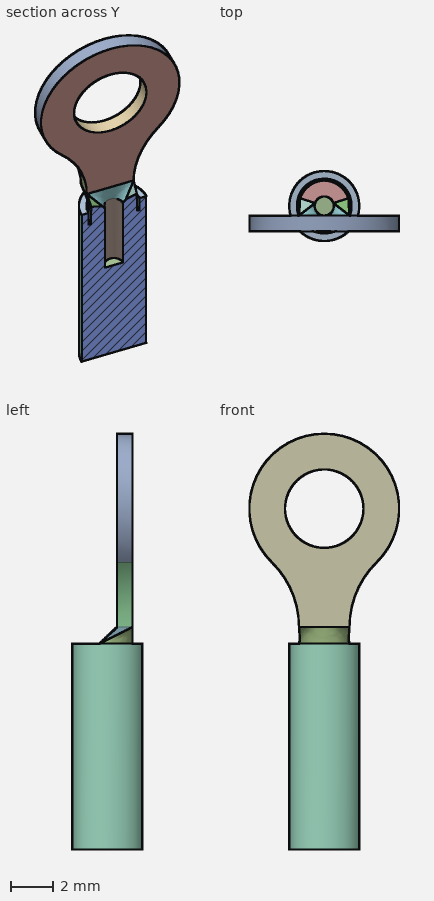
import cadquery as cq
import math

total_height = 19.67
sleeve_height = 9.74
sleeve_diameter = 3.32
gap_outer_radius = 1.3
barrel_radius = 1.2
bore_radius = 0.45
gap_depth = 0.79
bore_depth = 3.93

ring_diameter = 7.1
stud_hole_radius = 1.85
tongue_thickness = 0.75
tongue_front = -1.2
neck_half_width = 1.2
transition_height = 0.79
crimp_end_angle = 18.0

sleeve_radius = sleeve_diameter / 2
ring_radius = ring_diameter / 2
tongue_back = tongue_front + tongue_thickness
tongue_base = sleeve_height + transition_height
ring_center = total_height - ring_radius


def make_barrel():
    """Sleeve and barrel with a narrow annular gap and a blind bore at the top."""
    sleeve = cq.Workplane("XY").circle(sleeve_radius).extrude(sleeve_height)
    top = cq.Workplane("XY").workplane(offset=sleeve_height)
    gap = top.circle(gap_outer_radius).circle(barrel_radius).extrude(-gap_depth)
    bore = top.circle(bore_radius).extrude(-bore_depth)
    return sleeve.cut(gap).cut(bore)


def make_tongue():
    """Ring whose concave neck flanks are tangent to the ring and vertical at the base."""
    rise = ring_center - tongue_base
    flank_radius = (neck_half_width**2 + rise**2 - ring_radius**2) / (2 * (ring_radius - neck_half_width))
    flank_center_x = neck_half_width + flank_radius
    flank_angle = math.atan2(rise, flank_center_x)
    tangent_x = ring_radius * math.cos(flank_angle)
    tangent_z = ring_center - ring_radius * math.sin(flank_angle)
    middle_x = flank_center_x - flank_radius * math.cos(flank_angle / 2)
    middle_z = tongue_base + flank_radius * math.sin(flank_angle / 2)
    return (
        cq.Workplane("XZ", origin=(0, tongue_back, 0))
        .moveTo(-neck_half_width, tongue_base)
        .lineTo(neck_half_width, tongue_base)
        .threePointArc((middle_x, middle_z), (tangent_x, tangent_z))
        .threePointArc((0, total_height), (-tangent_x, tangent_z))
        .threePointArc((-middle_x, middle_z), (-neck_half_width, tongue_base))
        .close()
        .moveTo(0, ring_center)
        .circle(stud_hole_radius)
        .extrude(tongue_thickness)
    )


def crimp_points(radius):
    """Left end, lowest point and right end of a crimp arc on the barrel top."""
    angle = math.radians(crimp_end_angle)
    x = radius * math.cos(angle)
    y = radius * math.sin(angle)
    return (
        cq.Vector(-x, y, sleeve_height),
        cq.Vector(0, -radius, sleeve_height),
        cq.Vector(x, y, sleeve_height),
    )


def polygon_face(*points):
    return cq.Face.makeFromWires(cq.Wire.makePolygon(points, close=True))


def make_transition():
    """Ruled solid blending the open crimp section into the flat tongue base."""
    outer = crimp_points(barrel_radius)
    inner = crimp_points(bore_radius)
    front = [cq.Vector(side * neck_half_width, tongue_front, tongue_base) for side in (-1, 1)]
    back = [cq.Vector(side * neck_half_width, tongue_back, tongue_base) for side in (-1, 1)]
    outer_arc = cq.Edge.makeThreePointArc(*outer)
    inner_arc = cq.Edge.makeThreePointArc(*inner)
    crimp_ends = [cq.Edge.makeLine(inner[i], outer[i]) for i in (0, 2)]
    faces = [
        cq.Face.makeRuledSurface(outer_arc, cq.Edge.makeLine(*front)),
        cq.Face.makeRuledSurface(inner_arc, cq.Edge.makeLine(*back)),
        cq.Face.makeFromWires(cq.Wire.assembleEdges([outer_arc, crimp_ends[1], inner_arc, crimp_ends[0]])),
        polygon_face(front[0], front[1], back[1], back[0]),
    ]
    for side in (0, 1):
        outer_end = outer[2 * side]
        inner_end = inner[2 * side]
        faces.append(polygon_face(outer_end, inner_end, back[side]))
        faces.append(polygon_face(outer_end, back[side], front[side]))
    return cq.Workplane(cq.Solid.makeSolid(cq.Shell.makeShell(faces)).fix())


result = make_barrel().union(make_transition()).union(make_tongue())